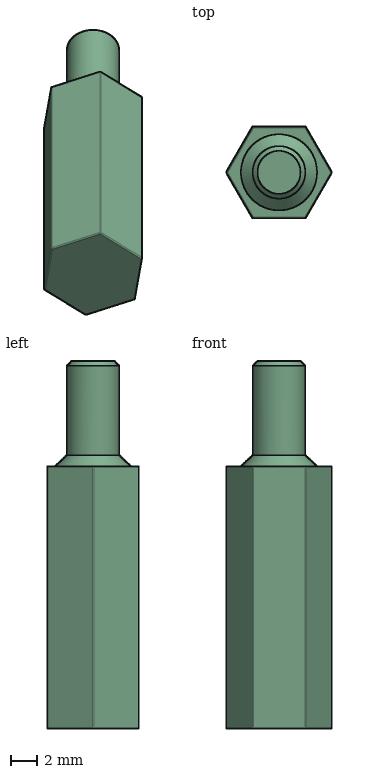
import cadquery as cq
import math

total_height = 28.0
body_height = 20.0
across_flats = 7.0
edge_round = 0.1

stud_diameter = 4.0
tip_chamfer = 0.35
root_depth = 0.85

collar_diameter = 5.8
collar_height = 0.85

across_corners = across_flats / math.cos(math.radians(30))
stud_radius = stud_diameter / 2
collar_radius = collar_diameter / 2


def make_body():
    """Hexagonal spacer with corners on the X axis and every edge rounded."""
    body = cq.Workplane("XY").polygon(6, across_corners).extrude(body_height)
    return body.edges().fillet(edge_round)


def make_stud():
    """Revolved collar, shank and chamfered tip about the Z axis."""
    profile = [
        (0, body_height - root_depth),
        (stud_radius, body_height - root_depth),
        (stud_radius, body_height),
        (collar_radius, body_height),
        (stud_radius, body_height + collar_height),
        (stud_radius, total_height - tip_chamfer),
        (stud_radius - tip_chamfer, total_height),
        (0, total_height),
    ]
    return cq.Workplane("XZ").polyline(profile).close().revolve(360, (0, 0), (0, 1))


result = make_body().union(make_stud())